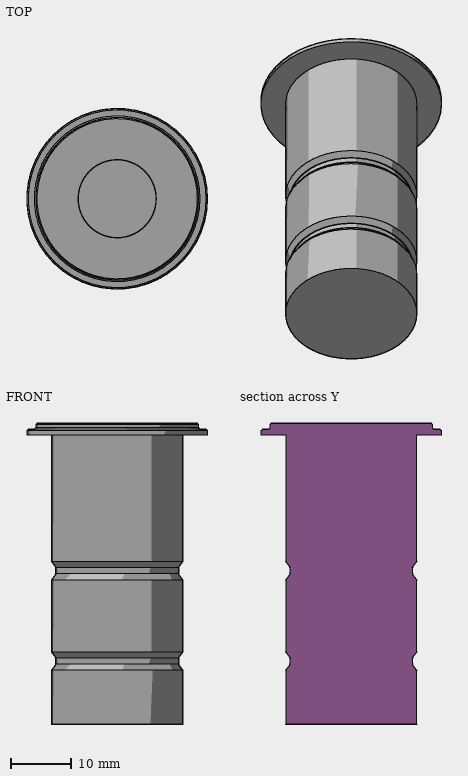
import cadquery as cq

total_height = 50.0
body_radius = 21.8 / 2

flange_radius = 30.0 / 2
flange_bottom = total_height - 2.0
flange_top = total_height - 1.0
flange_chamfer = 0.25
cap_radius = 27.0 / 2
cap_edge_chamfer = 0.2
cap_foot_flare = 0.25

groove_bottoms = (9.0, 24.0)
groove_side_height = 1.0
groove_floor_width = 1.0
groove_floor_radius = 20.3 / 2
band_radius = 20.5 / 2

button_radius = 12.9 / 2
button_bore_radius = 13.0 / 2
clearance_depth = total_height - flange_bottom


def groove_points(bottom):
    """Profile of one groove, from its lower edge to its upper edge."""
    floor_bottom = bottom + groove_side_height
    floor_top = floor_bottom + groove_floor_width
    return [
        (body_radius, bottom),
        (groove_floor_radius, floor_bottom),
        (band_radius, floor_bottom),
        (band_radius, floor_top),
        (groove_floor_radius, floor_top),
        (body_radius, floor_top + groove_side_height),
    ]


def head_points():
    """Profile of the flange and cap, from the body up to the axis."""
    return [
        (body_radius, flange_bottom),
        (flange_radius, flange_bottom),
        (flange_radius, flange_top - flange_chamfer),
        (flange_radius - flange_chamfer, flange_top),
        (cap_radius + cap_foot_flare, flange_top),
        (cap_radius, flange_top + cap_foot_flare),
        (cap_radius, total_height - cap_edge_chamfer),
        (cap_radius - cap_edge_chamfer, total_height),
        (0, total_height),
    ]


def turned_body():
    """Revolve the complete outer profile around Z."""
    points = [(0, 0), (body_radius, 0)]
    for bottom in groove_bottoms:
        points += groove_points(bottom)
    points += head_points()
    profile = cq.Workplane("XZ").polyline(points).close()
    return profile.revolve(360, (0, 0, 0), (0, 1, 0))


def button_clearance():
    """Thin ring that separates the button from the cap."""
    return (
        cq.Workplane("XY")
        .workplane(offset=total_height - clearance_depth)
        .circle(button_bore_radius)
        .circle(button_radius)
        .extrude(clearance_depth)
    )


result = turned_body().cut(button_clearance())